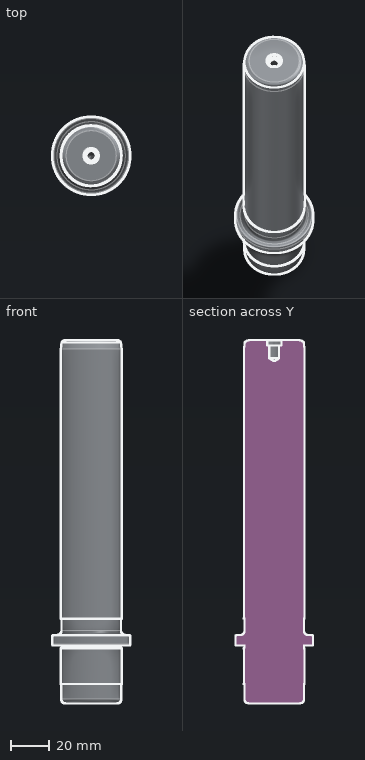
import cadquery as cq
import math

length = 190.0
body_radius = 16.0

nose_flat_radius = 13.1
nose_round = 2.8
nose_edge_radius = 15.5
lead_length = 4.8

tail_radius = 15.8
tail_length = 10.3
tail_round = 2.3

collar_radius = 20.5
collar_bottom = 30.2
collar_top = 36.0
collar_edge_round = 1.0
collar_fillet = 2.3

relief_radius = 15.5
upper_relief_top = 44.5
lower_relief_height = 1.0
relief_step = 0.4

hole_radius = 2.5
hole_depth = 9.5
hole_mouth_radius = 3.6
hole_tip_angle = 118.0
mouth_depth = 2.8
mouth_chamfer = 0.4


def arc_point(center, radius, degrees):
    """Point (r, z) on a circle in the half section."""
    angle = math.radians(degrees)
    return center[0] + radius * math.cos(angle), center[1] + radius * math.sin(angle)


def make_pin():
    """Revolve the half section of the solid pin about Z."""
    lower_relief_bottom = collar_bottom - lower_relief_height
    tail_center = (tail_radius - tail_round, tail_round)
    fillet_center = (relief_radius + collar_fillet, collar_top + collar_fillet)
    round_center_r = collar_radius - collar_edge_round
    lower_round_center = (round_center_r, collar_bottom + collar_edge_round)
    upper_round_center = (round_center_r, collar_top - collar_edge_round)
    nose_center = (nose_flat_radius, length - nose_round)
    nose_angle = math.degrees(math.acos((nose_edge_radius - nose_flat_radius) / nose_round))

    profile = (
        cq.Workplane("XZ")
        .lineTo(tail_center[0], 0)
        .threePointArc(arc_point(tail_center, tail_round, -45), (tail_radius, tail_round))
        .lineTo(tail_radius, tail_length)
        .lineTo(body_radius, tail_length)
        .lineTo(body_radius, lower_relief_bottom - relief_step)
        .lineTo(relief_radius, lower_relief_bottom)
        .lineTo(relief_radius, collar_bottom)
        .lineTo(round_center_r, collar_bottom)
        .threePointArc(
            arc_point(lower_round_center, collar_edge_round, -45),
            (collar_radius, lower_round_center[1]),
        )
        .lineTo(collar_radius, upper_round_center[1])
        .threePointArc(
            arc_point(upper_round_center, collar_edge_round, 45),
            (round_center_r, collar_top),
        )
        .lineTo(fillet_center[0], collar_top)
        .threePointArc(
            arc_point(fillet_center, collar_fillet, 225),
            (relief_radius, fillet_center[1]),
        )
        .lineTo(relief_radius, upper_relief_top - relief_step)
        .lineTo(body_radius, upper_relief_top)
        .lineTo(body_radius, length - lead_length)
        .lineTo(*arc_point(nose_center, nose_round, nose_angle))
        .threePointArc(
            arc_point(nose_center, nose_round, (nose_angle + 90) / 2),
            (nose_flat_radius, length),
        )
        .lineTo(0, length)
        .close()
    )
    return profile.revolve(360, (0, 0), (0, 1))


def make_center_hole():
    """Drilled hole with a conical tip and a chamfered counterbore."""
    bottom = length - hole_depth
    tip_height = hole_radius / math.tan(math.radians(hole_tip_angle / 2))
    profile = (
        cq.Workplane("XZ")
        .moveTo(0, bottom - tip_height)
        .lineTo(hole_radius, bottom)
        .lineTo(hole_radius, length - mouth_depth)
        .lineTo(hole_mouth_radius, length - mouth_depth)
        .lineTo(hole_mouth_radius, length - mouth_chamfer)
        .lineTo(hole_mouth_radius + mouth_chamfer, length)
        .lineTo(0, length)
        .close()
    )
    return profile.revolve(360, (0, 0), (0, 1))


result = make_pin().cut(make_center_hole())